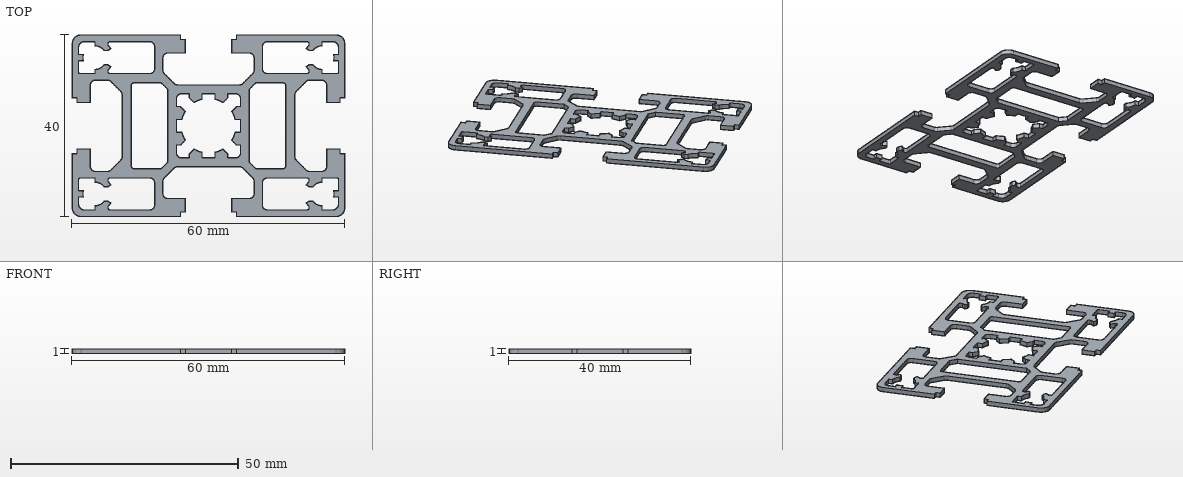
import cadquery as cq
import math

LENGTH = 60.0
WIDTH = 40.0
THICKNESS = 1.0
CORNER_RADIUS = 2.0

MOUTH_HALF = 5.1
REBATE_HALF = 6.1
REBATE_DEPTH = 1.0
LIP_THICKNESS = 4.0
SLOT_HALF = 10.0
SLOT_DEPTH = 11.0
SLOT_CHAMFER = 2.75
SLOT_LIP_FILLET = 1.1
SLOT_FLOOR_FILLET = 1.0

WINDOW_INNER_X = 9.0
WINDOW_OUTER_X = 17.0
WINDOW_HALF_HEIGHT = 9.4
WINDOW_CHAMFER = 1.4
WINDOW_FILLET = 0.6

CELL_HALF = 7.0
CELL_FILLET = 1.0
BORE_RADIUS = 6.0
KEYWAY_HALF = 1.4
TOOTH_OUTER = 4.25
DIAGONAL_OFFSET = 1.9

SCREW_X = 25.0
SCREW_Y = 15.0
SCREW_RADIUS = 2.6
CORNER_CELL_INNER_X = 11.9
CORNER_CELL_OUTER_X = 28.55
CORNER_CELL_HALF_HEIGHT = 3.5
CORNER_CELL_OUTER_FILLET = 1.2
CORNER_CELL_SLOT_FILLET = 0.25
CORNER_CELL_INNER_FILLET = 1.0
STUB_HALF = 0.7
HOOK_ROOT_LENGTH = 2.95
HOOK_NECK_HEIGHT = 2.75
HOOK_TIP_LENGTH = 3.55
HOOK_TIP_HEIGHT = 2.0
HOOK_CREST_LENGTH = 2.9
HOOK_CREST_HEIGHT = 1.55
HOOK_ROOT_FILLET = 0.35


def prism(points):
    return cq.Workplane("XY").polyline(points).close().extrude(THICKNESS)


def box(x_min, x_max, y_min, y_max):
    return prism([(x_min, y_min), (x_max, y_min), (x_max, y_max), (x_min, y_max)])


def disc(x, y, radius):
    return cq.Workplane("XY").center(x, y).circle(radius).extrude(THICKNESS)


def fillet_corners(solid, corners, radius):
    """Round the upright edges standing at the given (x, y) corners."""
    for x, y in corners:
        edge = cq.selectors.NearestToPointSelector((x, y, THICKNESS / 2))
        solid = solid.edges("|Z").edges(edge).fillet(radius)
    return solid


def both_signs(points):
    """The given points together with their mirror images across the Y axis."""
    return points + [(-x, y) for x, y in reversed(points)]


def t_slot(edge_distance):
    """T-slot opening toward +Y in a side at the given distance from the centre."""
    floor = edge_distance - SLOT_DEPTH
    lip = edge_distance - LIP_THICKNESS
    rebate = edge_distance - REBATE_DEPTH
    lip_corner = (SLOT_HALF, lip)
    chamfer_start = (SLOT_HALF, floor + SLOT_CHAMFER)
    chamfer_end = (SLOT_HALF - SLOT_CHAMFER, floor)
    half_outline = [
        (REBATE_HALF, edge_distance),
        (REBATE_HALF, rebate),
        (MOUTH_HALF, rebate),
        (MOUTH_HALF, lip),
        lip_corner,
        chamfer_start,
        chamfer_end,
    ]
    slot = prism(both_signs(half_outline))
    slot = fillet_corners(slot, both_signs([lip_corner]), SLOT_LIP_FILLET)
    return fillet_corners(slot, both_signs([chamfer_start, chamfer_end]), SLOT_FLOOR_FILLET)


def window():
    """Upright opening on the +X side, chamfered toward the centre cell."""
    opening = box(WINDOW_INNER_X, WINDOW_OUTER_X, -WINDOW_HALF_HEIGHT, WINDOW_HALF_HEIGHT)
    opening = opening.edges("|Z and <X").chamfer(WINDOW_CHAMFER)
    return opening.edges("|Z and >X").fillet(WINDOW_FILLET)


def centre_cell():
    """Square cell less its eight teeth."""
    cell = box(-CELL_HALF, CELL_HALF, -CELL_HALF, CELL_HALF).edges("|Z").fillet(CELL_FILLET)
    bore = disc(0, 0, BORE_RADIUS)
    half_offset = DIAGONAL_OFFSET / 2
    tip_x = math.sqrt(BORE_RADIUS**2 / 2 - half_offset**2) - half_offset
    tip_y = tip_x + DIAGONAL_OFFSET
    tooth = prism([
        (KEYWAY_HALF, CELL_HALF),
        (KEYWAY_HALF, tip_y),
        (tip_x, tip_y),
        (TOOTH_OUTER, TOOTH_OUTER + DIAGONAL_OFFSET),
        (TOOTH_OUTER, CELL_HALF),
    ]).cut(bore)
    pair = tooth.union(tooth.mirror("YZ"))
    for quarter in range(4):
        cell = cell.cut(pair.rotate((0, 0, 0), (0, 0, 1), 90 * quarter))
    return cell


def hook():
    """Hook on the +Y wall of the +X +Y corner cell, pointing toward the plate centre."""
    wall = SCREW_Y + CORNER_CELL_HALF_HEIGHT
    root_x = SCREW_X - HOOK_ROOT_LENGTH
    crest = (SCREW_X - HOOK_CREST_LENGTH, SCREW_Y + HOOK_CREST_HEIGHT)
    body = prism([
        (SCREW_X, wall),
        (SCREW_X, crest[1]),
        crest,
        (SCREW_X - HOOK_TIP_LENGTH, SCREW_Y + HOOK_TIP_HEIGHT),
        (root_x, SCREW_Y + HOOK_NECK_HEIGHT),
        (root_x, wall),
    ])
    root_fillet = box(root_x - HOOK_ROOT_FILLET, root_x, wall - HOOK_ROOT_FILLET, wall)
    root_fillet = root_fillet.cut(disc(root_x - HOOK_ROOT_FILLET, wall - HOOK_ROOT_FILLET, HOOK_ROOT_FILLET))
    return body.cut(disc(SCREW_X, SCREW_Y, SCREW_RADIUS)).union(root_fillet)


def corner_cell():
    """Opening in the +X +Y corner, less the hooks and the stub."""
    y_min = SCREW_Y - CORNER_CELL_HALF_HEIGHT
    y_max = SCREW_Y + CORNER_CELL_HALF_HEIGHT
    cell = box(CORNER_CELL_INNER_X, CORNER_CELL_OUTER_X, y_min, y_max)
    cell = cell.edges("|Z and <X").fillet(CORNER_CELL_INNER_FILLET)
    cell = fillet_corners(cell, [(CORNER_CELL_OUTER_X, y_max)], CORNER_CELL_OUTER_FILLET)
    cell = fillet_corners(cell, [(CORNER_CELL_OUTER_X, y_min)], CORNER_CELL_SLOT_FILLET)
    stub = box(SCREW_X, CORNER_CELL_OUTER_X, SCREW_Y - STUB_HALF, SCREW_Y + STUB_HALF)
    stub = stub.cut(disc(SCREW_X, SCREW_Y, SCREW_RADIUS))
    upper_hook = hook()
    lower_hook = upper_hook.mirror("XZ", (0, SCREW_Y, 0))
    return cell.cut(stub).cut(upper_hook).cut(lower_hook)


plate = cq.Workplane("XY").rect(LENGTH, WIDTH).extrude(THICKNESS).edges("|Z").fillet(CORNER_RADIUS)
plate = plate.cut(centre_cell())

side_slot = t_slot(WIDTH / 2)
end_slot = t_slot(LENGTH / 2).rotate((0, 0, 0), (0, 0, 1), -90)
plate = plate.cut(side_slot).cut(side_slot.mirror("XZ"))
for opening in (end_slot, window()):
    plate = plate.cut(opening).cut(opening.mirror("YZ"))

right_cell = corner_cell()
for cell in (right_cell, right_cell.mirror("YZ")):
    plate = plate.cut(cell).cut(cell.mirror("XZ"))

result = plate